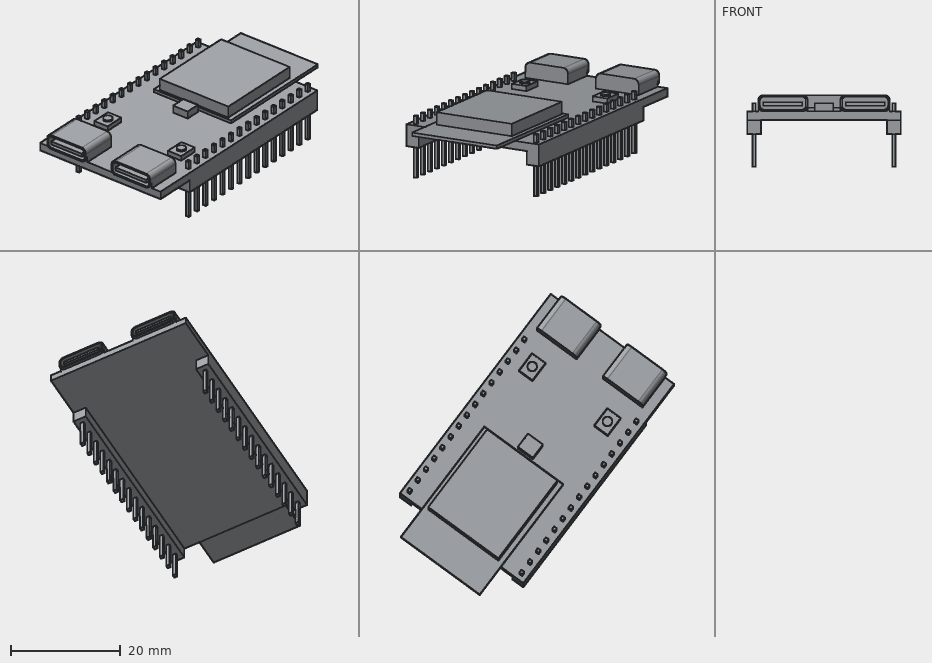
import cadquery as cq


board_width = 28.0
board_length = 46.0
board_thickness = 1.6
board_front = 0.5
board_back = board_front + board_length

header_width = 2.55
header_height = 2.55
header_length = 37.45
pins_per_header = 15
pin_pitch = header_length / pins_per_header
pin_width = 0.65
pin_tail = 6.0
pin_rise = 1.5
header_x = (board_width - header_width) / 2
header_bottom = -board_thickness - header_height

overall_length = 53.0
module_width = 17.9
module_length = 25.5
module_thickness = 0.65
can_width = 15.9
can_length = 17.95
can_margin = 0.5
module_front = overall_length - module_length
can_front = module_front + can_margin

top_height = 2.95

led_width = 3.4
led_length = 3.1
led_height = 1.5
led_y = 25.5

button_width = 3.1
button_length = 4.0
button_height = 0.95
plunger_diameter = 1.75
plunger_rise = 0.3
button_x = 8.55
button_y = 13.45

socket_width = 9.0
socket_length = 7.4
socket_radius = 1.0
socket_wall = 0.3
socket_x = 7.45
cavity_depth = socket_length - socket_wall
tongue_width = 7.1
tongue_thickness = 0.65
tongue_z = 1.3


def block(width, length, height, x, front, bottom):
    """Box centred on x, starting at the given front and bottom."""
    corner_box = cq.Workplane("XY").box(width, length, height, centered=(True, False, False))
    return corner_box.translate((x, front, bottom))


def header(x):
    """Plastic strip with its row of square pins running through it and the board."""
    strip = block(header_width, header_length, header_height, x, board_back - header_length, header_bottom)
    pin_bottom = header_bottom - pin_tail
    for index in range(pins_per_header):
        pin_y = board_back - (index + 0.5) * pin_pitch
        pin = block(pin_width, pin_width, pin_rise - pin_bottom, x, pin_y - pin_width / 2, pin_bottom)
        strip = strip.union(pin)
    return strip


def button(x):
    """Low switch body with a round plunger on top."""
    body = block(button_width, button_length, button_height, x, button_y - button_length / 2, 0)
    plunger = cq.Workplane("XY").circle(plunger_diameter / 2).extrude(button_height + plunger_rise)
    return body.union(plunger.translate((x, button_y, 0)))


def socket(x):
    """Shell with an open mouth and flush tongue; its lower edges are rounded only on the overhang."""
    shell = block(socket_width, socket_length, top_height, x, 0, 0)
    shell = shell.edges("|Y and >Z").fillet(socket_radius)
    overhang = block(socket_width, board_front, top_height, x, 0, 0).edges("|Y").fillet(socket_radius)
    seated = shell.intersect(block(socket_width, socket_length, top_height, x, board_front, 0))
    cavity_width = socket_width - 2 * socket_wall
    cavity_height = top_height - 2 * socket_wall
    cavity = block(cavity_width, cavity_depth, cavity_height, x, 0, socket_wall)
    cavity = cavity.edges("|Y").fillet(socket_radius - socket_wall)
    tongue = block(tongue_width, cavity_depth, tongue_thickness, x, 0, tongue_z - tongue_thickness / 2)
    return overhang.union(seated).cut(cavity).union(tongue)


board = block(board_width, board_length, board_thickness, 0, board_front, -board_thickness)
carrier = block(module_width, module_length, module_thickness, 0, module_front, 0)
can = block(can_width, can_length, top_height, 0, can_front, 0)
led = block(led_width, led_length, led_height, 0, led_y - led_length / 2, 0)

result = board.union(carrier).union(can).union(led)
for side in (-1, 1):
    result = result.union(header(side * header_x))
    result = result.union(button(side * button_x))
    result = result.union(socket(side * socket_x))